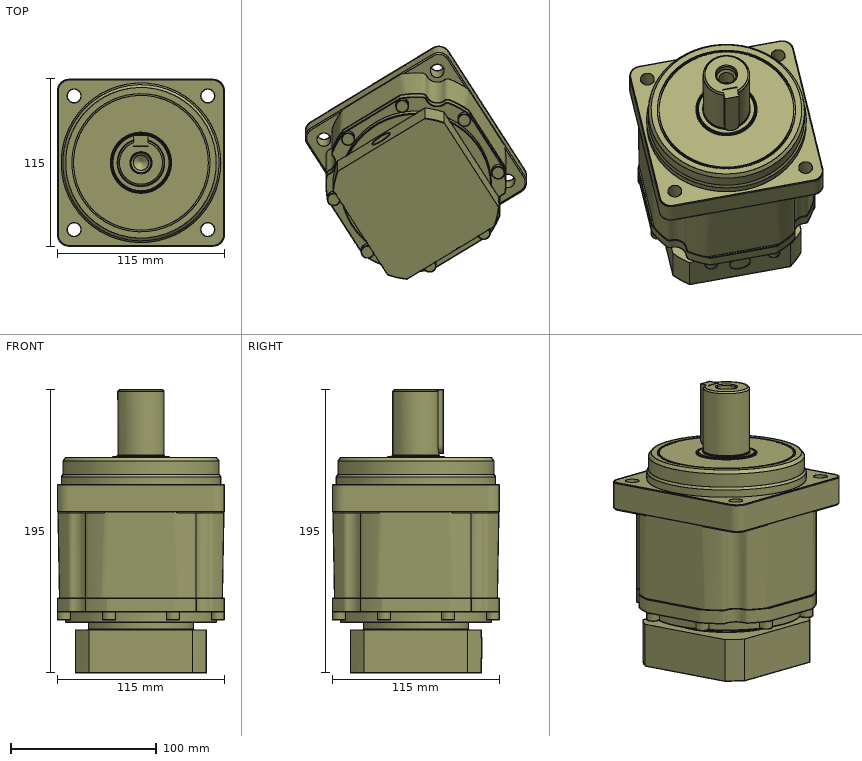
import cadquery as cq
import math

TOTAL_HEIGHT = 195.0
BLOCK_TOP = 29.6
NECK_TOP = 34.5
CAP_BOTTOM = 41.7
CAP_TOP = 51.5
FLANGE_BOTTOM = 110.2
FLANGE_TOP = 129.9
LOWER_PILOT_TOP = 135.0
UPPER_PILOT_BOTTOM = 136.7
FACE_TOP = 148.4

BLOCK_WIDTH = 90.3
BLOCK_CORNER_RADIUS = 57.5
BLOCK_CORNER_CHAMFER = 0.4
NECK_RADIUS = 36.3
NECK_FLARE = 0.4
PLUG_RADIUS = 7.2
PLUG_HEIGHT = 0.4
PLUG_Z = 17.2

FLANGE_WIDTH = 115.0
BODY_RADIUS = 62.0
CAP_BOSS_RADIUS = 52.0
CAP_BOSS_CHAMFER = 0.5
CAP_EDGE_CHAMFER = 0.4
CAP_GROOVE_RADIUS = 8.0
CAP_GROOVE_FILLET = 3.0
CAP_FLAT_FILLET = 1.5
SCREW_HEAD_RADIUS = 4.5
SCREW_HEAD_HEIGHT = 5.5
SCREW_HEAD_CHAMFER = 0.4
SCREW_COUNT = 8

BODY_WIDTH_TOP = 114.5
BODY_WIDTH_BOTTOM = 112.3
FLAT_EDGE_FILLET = 4.9
BODY_GROOVE_RADIUS = CAP_GROOVE_RADIUS
BODY_GROOVE_FILLET = 3.9

FLANGE_CORNER_RADIUS = 8.0
FLANGE_TOP_CHAMFER = 0.5
FLANGE_BOTTOM_CHAMFER = 1.0
BODY_TOP = FLANGE_BOTTOM + FLANGE_BOTTOM_CHAMFER
BOLT_SPACING = 92.0
BOLT_HOLE_RADIUS = 4.7

LOWER_PILOT_RADIUS = 55.0
UPPER_PILOT_RADIUS = 53.8
PILOT_CHAMFER_RADIUS = 51.9
PILOT_CHAMFER_HEIGHT = 2.3
RING_GROOVE_RADIUS = 47.0
RING_GROOVE_WIDTH = 1.2
RING_GROOVE_DEPTH = 1.0
SEAL_BORE_RADIUS = 20.5
SEAL_BORE_CHAMFER = 0.5
SEAL_GROOVE_DEPTH = 1.0

SHAFT_RADIUS = 16.0
SHAFT_CHAMFER = 1.2
COLLAR_RADIUS = 19.9
COLLAR_TOP = 149.0
COLLAR_CHAMFER = 0.5
SHOULDER_RADIUS = 16.4
SHOULDER_TOP = 150.0
SHOULDER_CHAMFER = 0.4
SHAFT_SEAT_DEPTH = 11.7

KEY_WIDTH = 10.0
KEY_TOP = 19.0
KEY_BOTTOM = 11.7
KEY_END = 151.1
KEYWAY_FLOOR = 11.3

CENTRE_MOUTH_RADIUS = 7.6
CENTRE_RECESS_RADIUS = 6.8
CENTRE_RECESS_DEPTH = 4.5
CENTRE_BORE_RADIUS = 5.3
CENTRE_BORE_DEPTH = 19.5
DRILL_TIP_ANGLE = 118.0


def disc(radius, bottom, top):
    return cq.Workplane("XY").workplane(offset=bottom).circle(radius).extrude(top - bottom)


def square(width, bottom, top):
    return cq.Workplane("XY").workplane(offset=bottom).rect(width, width).extrude(top - bottom)


def revolved(half_profile):
    """Turn a list of (radius, z) points about the Z axis."""
    return cq.Workplane("XZ").polyline(half_profile).close().revolve(360, (0, 0), (0, 1))


def at_bolts(radius, bottom, top):
    """Four vertical cylinders on the flange bolt pattern."""
    bolts = cq.Workplane("XY").workplane(offset=bottom).rect(BOLT_SPACING, BOLT_SPACING, forConstruction=True)
    return bolts.vertices().circle(radius).extrude(top - bottom)


def make_motor_block():
    turned_blank = disc(BLOCK_CORNER_RADIUS, 0, BLOCK_TOP).faces("<Z").chamfer(BLOCK_CORNER_CHAMFER)
    block = square(BLOCK_WIDTH, 0, BLOCK_TOP).intersect(turned_blank)
    neck = revolved([
        (0, BLOCK_TOP), (NECK_RADIUS + NECK_FLARE, BLOCK_TOP), (NECK_RADIUS, BLOCK_TOP + NECK_FLARE),
        (NECK_RADIUS, NECK_TOP), (0, NECK_TOP),
    ])
    plug_plane = cq.Workplane("XZ", origin=(0, BLOCK_WIDTH / 2, PLUG_Z))
    plug = plug_plane.circle(PLUG_RADIUS).extrude(-PLUG_HEIGHT)
    return block.union(neck).union(plug)


def is_groove_edge(edge):
    """True for an upright edge close to a flange bolt axis."""
    centre = edge.Center()
    bolt = BOLT_SPACING / 2
    distance = math.hypot(abs(centre.x) - bolt, abs(centre.y) - bolt)
    return distance < 2 * CAP_GROOVE_RADIUS


def make_cap():
    """Square trimmed by a cylinder, grooved at the bolts, with a round boss below."""
    cap = square(FLANGE_WIDTH, CAP_BOTTOM, CAP_TOP).intersect(disc(BODY_RADIUS, CAP_BOTTOM, CAP_TOP))
    cap = cap.edges("|Z").fillet(CAP_FLAT_FILLET)
    cap = cap.cut(at_bolts(CAP_GROOVE_RADIUS, CAP_BOTTOM, CAP_TOP))
    cap = cap.edges("|Z").filter(is_groove_edge).fillet(CAP_GROOVE_FILLET)
    cap = cap.faces("<Z or >Z").chamfer(CAP_EDGE_CHAMFER)
    boss = disc(CAP_BOSS_RADIUS, NECK_TOP, CAP_BOTTOM).faces("<Z").chamfer(CAP_BOSS_CHAMFER)
    return cap.union(boss)


def make_screw_heads():
    """Ring of heads under the cap, spaced evenly and reaching out to the flat sides."""
    step = 360 / SCREW_COUNT
    ring_radius = (FLANGE_WIDTH / 2 - SCREW_HEAD_RADIUS) / math.cos(math.radians(step / 2))
    ring = cq.Workplane("XY").workplane(offset=CAP_BOTTOM - SCREW_HEAD_HEIGHT)
    ring = ring.polarArray(ring_radius, step / 2, 360, SCREW_COUNT)
    heads = ring.circle(SCREW_HEAD_RADIUS).extrude(SCREW_HEAD_HEIGHT)
    return heads.faces("<Z").chamfer(SCREW_HEAD_CHAMFER)


def make_gear_body():
    """Slightly tapered square trimmed by a cylinder, with a groove below each flange bolt."""
    height = BODY_TOP - CAP_TOP
    tapered = (
        cq.Workplane("XY").workplane(offset=CAP_TOP).rect(BODY_WIDTH_BOTTOM, BODY_WIDTH_BOTTOM)
        .workplane(offset=height).rect(BODY_WIDTH_TOP, BODY_WIDTH_TOP).loft(ruled=True)
    )
    body = tapered.intersect(disc(BODY_RADIUS, CAP_TOP, BODY_TOP))
    body = body.edges("not (<Z or >Z)").fillet(FLAT_EDGE_FILLET)
    body = body.cut(at_bolts(BODY_GROOVE_RADIUS, CAP_TOP, BODY_TOP))
    return body.edges("|Z").fillet(BODY_GROOVE_FILLET)


def make_flange():
    flange = square(FLANGE_WIDTH, FLANGE_BOTTOM, FLANGE_TOP).edges("|Z").fillet(FLANGE_CORNER_RADIUS)
    flange = flange.faces(">Z").chamfer(FLANGE_TOP_CHAMFER).faces("<Z").chamfer(FLANGE_BOTTOM_CHAMFER)
    return flange.cut(at_bolts(BOLT_HOLE_RADIUS, FLANGE_BOTTOM, FLANGE_TOP))


def make_pilot():
    pilot = revolved([
        (0, FLANGE_TOP), (LOWER_PILOT_RADIUS, FLANGE_TOP), (LOWER_PILOT_RADIUS, LOWER_PILOT_TOP),
        (UPPER_PILOT_RADIUS, UPPER_PILOT_BOTTOM), (UPPER_PILOT_RADIUS, FACE_TOP - PILOT_CHAMFER_HEIGHT),
        (PILOT_CHAMFER_RADIUS, FACE_TOP), (0, FACE_TOP),
    ])
    groove_floor = FACE_TOP - RING_GROOVE_DEPTH
    groove = disc(RING_GROOVE_RADIUS + RING_GROOVE_WIDTH / 2, groove_floor, FACE_TOP)
    groove = groove.cut(disc(RING_GROOVE_RADIUS - RING_GROOVE_WIDTH / 2, groove_floor, FACE_TOP))
    return pilot.cut(groove)


def make_housing():
    housing = make_motor_block().union(make_cap()).union(make_gear_body())
    housing = housing.union(make_screw_heads()).union(make_flange()).union(make_pilot())
    groove_floor = FACE_TOP - SEAL_GROOVE_DEPTH
    seal_groove = revolved([
        (0, groove_floor), (SEAL_BORE_RADIUS, groove_floor), (SEAL_BORE_RADIUS, FACE_TOP - SEAL_BORE_CHAMFER),
        (SEAL_BORE_RADIUS + SEAL_BORE_CHAMFER, FACE_TOP), (0, FACE_TOP),
    ])
    shaft_seat = disc(COLLAR_RADIUS, FACE_TOP - SHAFT_SEAT_DEPTH, FACE_TOP)
    return housing.cut(seal_groove).cut(shaft_seat)


def make_centre_hole():
    mouth_depth = CENTRE_MOUTH_RADIUS - CENTRE_RECESS_RADIUS
    step = CENTRE_RECESS_RADIUS - CENTRE_BORE_RADIUS
    recess_floor = TOTAL_HEIGHT - CENTRE_RECESS_DEPTH
    bore_floor = TOTAL_HEIGHT - CENTRE_BORE_DEPTH
    tip_depth = CENTRE_BORE_RADIUS / math.tan(math.radians(DRILL_TIP_ANGLE / 2))
    return revolved([
        (0, TOTAL_HEIGHT), (CENTRE_MOUTH_RADIUS, TOTAL_HEIGHT),
        (CENTRE_RECESS_RADIUS, TOTAL_HEIGHT - mouth_depth), (CENTRE_RECESS_RADIUS, recess_floor),
        (CENTRE_BORE_RADIUS, recess_floor - step), (CENTRE_BORE_RADIUS, bore_floor),
        (0, bore_floor - tip_depth),
    ])


def key_prism(bottom_y, top_y):
    """Upright bar across the key width, flush with the shaft end and rounded at its lower end."""
    half = KEY_WIDTH / 2
    outline = (
        cq.Workplane("XZ", origin=(0, bottom_y, 0)).moveTo(-half, TOTAL_HEIGHT)
        .lineTo(-half, KEY_END + half).threePointArc((0, KEY_END), (half, KEY_END + half))
        .lineTo(half, TOTAL_HEIGHT).close()
    )
    return outline.extrude(bottom_y - top_y)


def make_output_shaft():
    seat_floor = FACE_TOP - SHAFT_SEAT_DEPTH
    shaft = revolved([
        (0, seat_floor), (COLLAR_RADIUS, seat_floor), (COLLAR_RADIUS, COLLAR_TOP - COLLAR_CHAMFER),
        (COLLAR_RADIUS - COLLAR_CHAMFER, COLLAR_TOP), (SHOULDER_RADIUS, COLLAR_TOP),
        (SHOULDER_RADIUS, SHOULDER_TOP - SHOULDER_CHAMFER), (SHAFT_RADIUS, SHOULDER_TOP),
        (SHAFT_RADIUS, TOTAL_HEIGHT - SHAFT_CHAMFER),
        (SHAFT_RADIUS - SHAFT_CHAMFER, TOTAL_HEIGHT), (0, TOTAL_HEIGHT),
    ])
    key = key_prism(KEY_BOTTOM, KEY_TOP)
    key_clearance = key_prism(KEYWAY_FLOOR, KEY_BOTTOM)
    return shaft.union(key).cut(key_clearance).cut(make_centre_hole()).clean()


housing = make_housing()
output_shaft = make_output_shaft()

result = cq.Compound.makeCompound([housing.val(), output_shaft.val()])